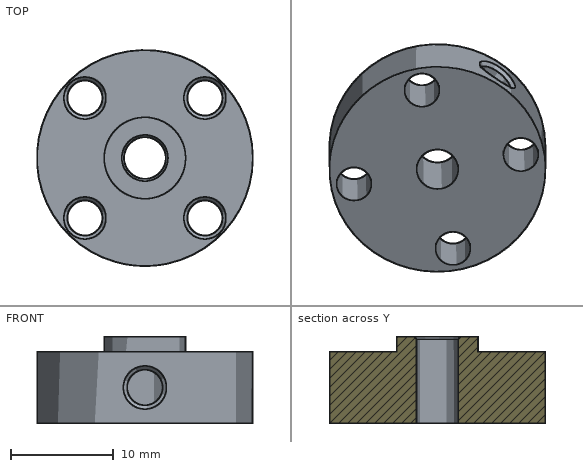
import cadquery as cq

disc_diameter = 21.05
disc_height = 7.0
boss_diameter = 7.95
boss_height = 1.45
total_height = disc_height + boss_height

bore_diameter = 4.05
bore_chamfer = 0.23

mount_hole_diameter = 3.4
mount_hole_spacing = 11.69
mount_hole_chamfer = 0.35

screw_hole_diameter = 3.45
screw_hole_height = disc_height / 2
screw_hole_chamfer = 0.38


def chamfered_hole(diameter, chamfer, top):
    """Cutter for a vertical through hole with a 45 degree chamfer at its top."""
    cutter = cq.Workplane("XY").circle(diameter / 2).extrude(top)
    cone = cq.Solid.makeCone(
        diameter / 2,
        diameter / 2 + chamfer,
        chamfer,
        pnt=cq.Vector(0, 0, top - chamfer),
    )
    return cutter.union(cq.Workplane(cone))


body = cq.Workplane("XY").circle(disc_diameter / 2).extrude(disc_height)
body = body.faces(">Z").workplane().circle(boss_diameter / 2).extrude(boss_height)

screw_hole = (
    cq.Workplane("XZ", origin=(0, 0, screw_hole_height))
    .circle(screw_hole_diameter / 2)
    .extrude(disc_diameter)
)
body = body.cut(screw_hole)
screw_hole_mouth = (0, -disc_diameter / 2, screw_hole_height + screw_hole_diameter / 2)
body = body.edges(cq.selectors.NearestToPointSelector(screw_hole_mouth)).chamfer(screw_hole_chamfer)

body = body.cut(chamfered_hole(bore_diameter, bore_chamfer, total_height))

mount_hole = chamfered_hole(mount_hole_diameter, mount_hole_chamfer, disc_height)
for x_side in (-1, 1):
    for y_side in (-1, 1):
        position = (x_side * mount_hole_spacing / 2, y_side * mount_hole_spacing / 2, 0)
        body = body.cut(mount_hole.translate(position))

result = body